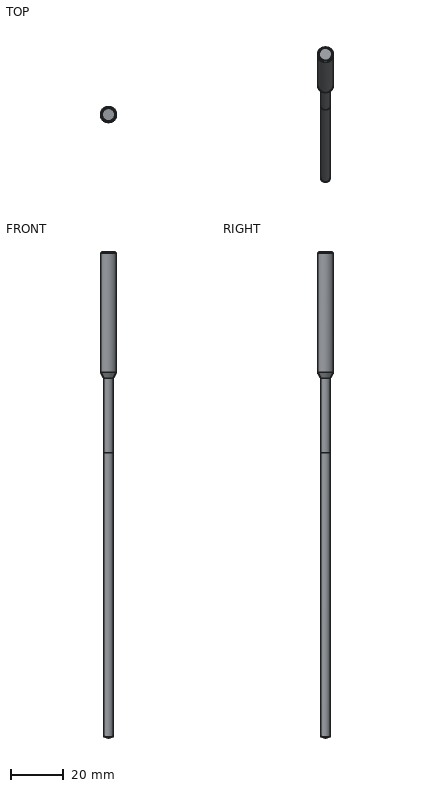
import cadquery as cq
import math

total_length = 183.65
shank_diameter = 6.0
shank_length = 45.5
shank_chamfer = 0.6
stem_diameter = 3.6
shoulder_length = 2.2
rod_length = 107.8
point_angle = 140.0

shank_radius = shank_diameter / 2
stem_radius = stem_diameter / 2
point_height = stem_radius / math.tan(math.radians(point_angle / 2))
shoulder_top = total_length - shank_length
shoulder_bottom = shoulder_top - shoulder_length


def revolve_profile(points):
    """Turn a (radius, height) outline into a solid around the Z axis."""
    outline = cq.Workplane("YZ").polyline(points).close()
    return outline.revolve(360, (0, 0), (0, 1))


def make_holder():
    """Chamfered shank that tapers down to a slim stem, ending flat on the drill rod."""
    return revolve_profile([
        (0, rod_length),
        (stem_radius, rod_length),
        (stem_radius, shoulder_bottom),
        (shank_radius, shoulder_top),
        (shank_radius, total_length - shank_chamfer),
        (shank_radius - shank_chamfer, total_length),
        (0, total_length),
    ])


def make_drill_rod():
    """Straight rod with a conical point, flush with the stem above it."""
    return revolve_profile([
        (0, 0),
        (stem_radius, point_height),
        (stem_radius, rod_length),
        (0, rod_length),
    ])


holder = make_holder()
drill_rod = make_drill_rod()

result = cq.Compound.makeCompound([holder.val(), drill_rod.val()])